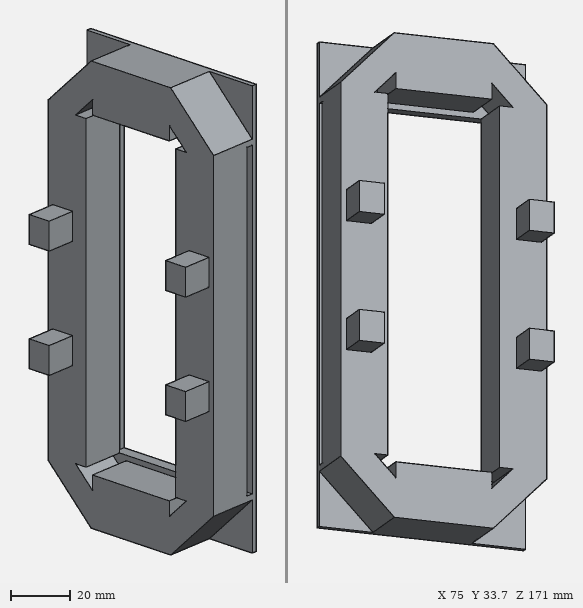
import cadquery as cq

width = 75.0
height = 171.0
total_depth = 33.7

plate_thickness = 2.0
frame_depth = 21.7
corner_chamfer = 19.5

frame_window_width = 40.7
plate_window_width = 44.8
window_height = 127.5
slot_thickness = 2.5
slot_front = -plate_thickness - slot_thickness

end_bar_setback = 2.0

notch_inner_x = 17.5
notch_outer_x = 25.1

peg_width = 9.0
peg_height = 11.0
peg_edge_gap = 2.0
peg_spacing = 45.5


def block(size_x, size_z, y_back, y_front):
    """Block centred on X and Z, from y_back forward to y_front."""
    depth = y_back - y_front
    return cq.Workplane("XY").box(size_x, depth, size_z).translate((0, y_front + depth / 2, 0))


def make_plate():
    plate = block(width, height, 0, -plate_thickness)
    return plate.cut(block(plate_window_width, window_height, 0, -plate_thickness))


def make_notch():
    """Upper-right notch through the frame, stopping at the front of the slot."""
    base_z = window_height / 2
    rise = notch_outer_x - notch_inner_x
    return (
        cq.Workplane("XZ", origin=(0, slot_front, 0))
        .moveTo(notch_inner_x, base_z)
        .lineTo(notch_outer_x, base_z)
        .lineTo(notch_inner_x, base_z + rise)
        .close()
        .extrude(frame_depth + slot_front)
    )


def make_frame():
    frame = block(width, height, -plate_thickness, -frame_depth)
    frame = frame.edges("|Y").chamfer(corner_chamfer)

    opening_height = window_height + 2 * end_bar_setback
    frame = frame.cut(block(frame_window_width, window_height, -plate_thickness, -frame_depth))
    frame = frame.cut(block(2 * notch_inner_x, opening_height, slot_front, -frame_depth))

    right_notch = make_notch()
    left_notch = right_notch.mirror("YZ")
    for notch in (right_notch, left_notch):
        frame = frame.cut(notch).cut(notch.mirror("XY"))

    return frame.cut(block(width, window_height, -plate_thickness, slot_front))


def make_pegs():
    peg_pitch_x = width - 2 * peg_edge_gap - peg_width
    return (
        cq.Workplane("XZ", origin=(0, -frame_depth, 0))
        .rarray(peg_pitch_x, peg_spacing, 2, 2)
        .rect(peg_width, peg_height)
        .extrude(total_depth - frame_depth)
    )


result = make_plate().union(make_frame()).union(make_pegs())